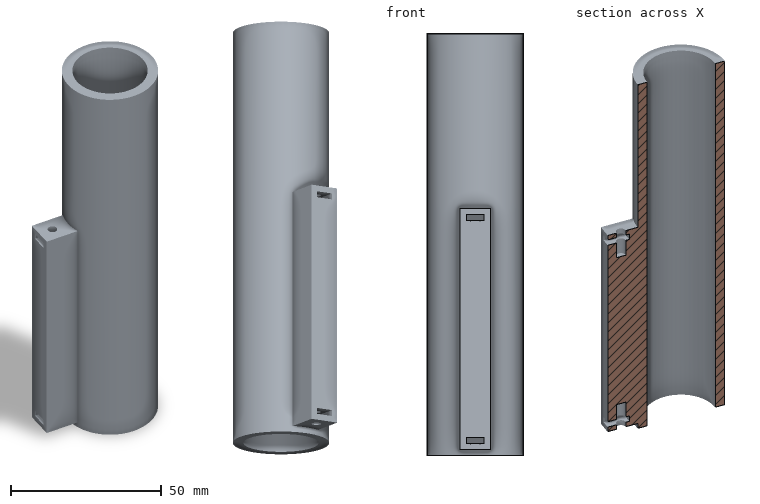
import cadquery as cq

tube_diameter = 32.0
bore_diameter = 25.0
tube_height = 140.0

block_width = 10.0
block_length = 80.0
block_bottom = 2.0
block_top = block_bottom + block_length
block_front = -27.0

screw_diameter = 3.2
screw_depth = 10.0
screw_edge_distance = 5.0
screw_y = block_front + screw_edge_distance

nut_width = 5.8
nut_thickness = 2.0
nut_end_wall = 2.0
nut_slot_depth = screw_edge_distance + nut_width / 2


def vertical_cylinder(diameter, bottom, height, y=0.0):
    return cq.Workplane("XY", origin=(0, y, bottom)).circle(diameter / 2).extrude(height)


def box_from_front(width, depth, bottom, height):
    """Box centred on X that starts at the block's front face and runs toward +Y."""
    box = cq.Workplane("XY").box(width, depth, height, centered=(True, False, False))
    return box.translate((0, block_front, bottom))


tube = vertical_cylinder(tube_diameter, 0, tube_height)
block = box_from_front(block_width, -block_front, block_bottom, block_length)
result = tube.union(block)
result = result.cut(vertical_cylinder(bore_diameter, 0, tube_height))

for hole_bottom in (block_bottom, block_top - screw_depth):
    result = result.cut(vertical_cylinder(screw_diameter, hole_bottom, screw_depth, screw_y))

lower_slot_bottom = block_bottom + nut_end_wall
upper_slot_bottom = block_top - nut_end_wall - nut_thickness
for slot_bottom in (lower_slot_bottom, upper_slot_bottom):
    result = result.cut(box_from_front(nut_width, nut_slot_depth, slot_bottom, nut_thickness))